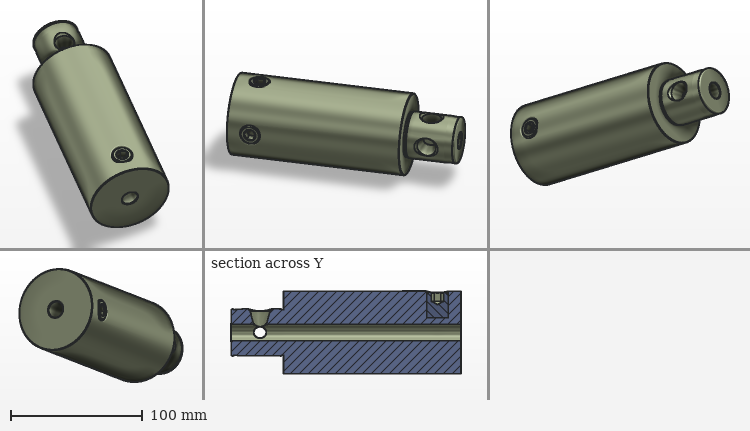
import cadquery as cq
import math


TOTAL_LENGTH = 175.0
BODY_DIAMETER = 63.0
BODY_START = 39.9
BODY_CHAMFER = 0.5

SPIGOT_DIAMETER = 36.0
PILOT_START_DIAMETER = 35.2
PILOT_END = 8.0
LIP_ROUND = 1.5
LIP_STEP_LENGTH = 0.5

RELIEF_DIAMETER = 34.8
RELIEF_START = 37.8
RELIEF_TAPER_LENGTH = 1.0
FACE_RELIEF_DIAMETER = 39.5
FACE_RELIEF_DEPTH = 0.4

BORE_DIAMETER = 12.2
BORE_CHAMFER = 0.5

SEAT_X = 22.2
SEAT_DIAMETER = 14.7
SEAT_COUNTERSINK_DEPTH = 2.0
SEAT_HALF_ANGLE = 15.0

SCREW_X = 157.0
SCREW_DIAMETER = 16.0
SCREW_TOP = 30.6
SCREW_LENGTH = 19.2
SCREW_CHAMFER = 1.0
SCREW_HOLE_RIM_ROUND = 0.96

HEXAGON_SIDES = 6
SOCKET_FLATS = 8.0
SOCKET_DEPTH = 7.0
SOCKET_RIM_DIAMETER = 9.5
SOCKET_TIP_HALF_ANGLE = 60.0

RIM_SEARCH_MARGIN = 0.9

FEATURE_TURNS = (0.0, -90.0)

BODY_RADIUS = BODY_DIAMETER / 2
SPIGOT_RADIUS = SPIGOT_DIAMETER / 2
SCREW_BOTTOM = SCREW_TOP - SCREW_LENGTH


def turned(shape, angle):
    """Turn a shape about the X axis."""
    return shape.rotate((0, 0, 0), (1, 0, 0), angle)


def cone(x, lower_z, lower_radius, upper_z, upper_radius):
    """Upright truncated cone centred on (x, y = 0)."""
    height = upper_z - lower_z
    return cq.Workplane(cq.Solid.makeCone(
        lower_radius, upper_radius, height, cq.Vector(x, 0, lower_z), cq.Vector(0, 0, 1)))


def cylinder(x, lower_z, upper_z, radius):
    """Upright cylinder centred on (x, y = 0)."""
    return cq.Workplane("XY", origin=(x, 0, lower_z)).circle(radius).extrude(upper_z - lower_z)


def turned_blank():
    """Spigot and body revolved as one profile, with the bore left solid."""
    relief_radius = RELIEF_DIAMETER / 2
    round_middle = LIP_ROUND * math.sqrt(0.5)
    return (
        cq.Workplane("XY")
        .lineTo(0, SPIGOT_RADIUS - LIP_ROUND)
        .threePointArc(
            (LIP_ROUND - round_middle, SPIGOT_RADIUS - LIP_ROUND + round_middle),
            (LIP_ROUND, SPIGOT_RADIUS),
        )
        .lineTo(LIP_ROUND + LIP_STEP_LENGTH, PILOT_START_DIAMETER / 2)
        .lineTo(PILOT_END, SPIGOT_RADIUS)
        .lineTo(RELIEF_START, SPIGOT_RADIUS)
        .lineTo(RELIEF_START + RELIEF_TAPER_LENGTH, relief_radius)
        .lineTo(BODY_START + FACE_RELIEF_DEPTH, relief_radius)
        .lineTo(BODY_START, FACE_RELIEF_DIAMETER / 2)
        .lineTo(BODY_START, BODY_RADIUS - BODY_CHAMFER)
        .lineTo(BODY_START + BODY_CHAMFER, BODY_RADIUS)
        .lineTo(TOTAL_LENGTH - BODY_CHAMFER, BODY_RADIUS)
        .lineTo(TOTAL_LENGTH, BODY_RADIUS - BODY_CHAMFER)
        .lineTo(TOTAL_LENGTH, 0)
        .close()
        .revolve(360, (0, 0, 0), (1, 0, 0))
    )


def bore():
    """Through bore with a chamfered mouth at each end."""
    radius = BORE_DIAMETER / 2
    mouth_radius = radius + BORE_CHAMFER
    return (
        cq.Workplane("XY")
        .lineTo(0, mouth_radius)
        .lineTo(BORE_CHAMFER, radius)
        .lineTo(TOTAL_LENGTH - BORE_CHAMFER, radius)
        .lineTo(TOTAL_LENGTH, mouth_radius)
        .lineTo(TOTAL_LENGTH, 0)
        .close()
        .revolve(360, (0, 0, 0), (1, 0, 0))
    )


def conical_seat():
    """Cone that narrows from the spigot surface to the bore, with a 45 degree countersink."""
    seat_radius = SEAT_DIAMETER / 2
    rim_z = SPIGOT_RADIUS - SEAT_COUNTERSINK_DEPTH
    tip_radius = seat_radius - rim_z * math.tan(math.radians(SEAT_HALF_ANGLE))
    seat = cone(SEAT_X, 0, tip_radius, rim_z, seat_radius)
    outer_radius = seat_radius + SEAT_COUNTERSINK_DEPTH
    countersink = cone(SEAT_X, rim_z, seat_radius, SPIGOT_RADIUS, outer_radius)
    return seat.union(countersink)


def screw_hole():
    """Blind hole for a set screw."""
    return cylinder(SCREW_X, SCREW_BOTTOM, BODY_RADIUS, SCREW_DIAMETER / 2)


def screw_hole_rim():
    """Box round the mouth of a screw hole that selects its rim edge."""
    reach = SCREW_DIAMETER / 2 + RIM_SEARCH_MARGIN
    return cq.selectors.BoxSelector(
        (SCREW_X - reach, -reach, SCREW_TOP - RIM_SEARCH_MARGIN),
        (SCREW_X + reach, reach, BODY_RADIUS + RIM_SEARCH_MARGIN),
    )


def hex_socket():
    """Hexagonal socket with a chamfered mouth and a conical floor."""
    corner_diameter = SOCKET_FLATS / math.cos(math.pi / HEXAGON_SIDES)
    flat_radius = SOCKET_FLATS / 2
    rim_radius = SOCKET_RIM_DIAMETER / 2
    floor_z = SCREW_TOP - SOCKET_DEPTH
    tip_z = floor_z - flat_radius / math.tan(math.radians(SOCKET_TIP_HALF_ANGLE))
    mouth_z = SCREW_TOP - (rim_radius - flat_radius)
    hexagon = (
        cq.Workplane("XY", origin=(SCREW_X, 0, floor_z))
        .polygon(HEXAGON_SIDES, corner_diameter)
        .extrude(SOCKET_DEPTH)
    )
    tip = cone(SCREW_X, tip_z, 0, floor_z, flat_radius)
    mouth = cone(SCREW_X, mouth_z, flat_radius, SCREW_TOP, rim_radius)
    return hexagon.union(tip).union(mouth)


def set_screw():
    """Headless set screw on the +Z side."""
    return (
        cylinder(SCREW_X, SCREW_BOTTOM, SCREW_TOP, SCREW_DIAMETER / 2)
        .faces(">Z")
        .chamfer(SCREW_CHAMFER)
        .cut(hex_socket())
    )


def add_screw_hole(holder, turn):
    """Cut one screw hole and round its rim, with the holder turned so that the hole faces +Z."""
    facing_up = turned(holder, -turn).cut(screw_hole())
    return turned(facing_up.edges(screw_hole_rim()).fillet(SCREW_HOLE_RIM_ROUND), turn)


holder = turned_blank().cut(bore())
for turn in FEATURE_TURNS:
    holder = holder.cut(turned(conical_seat(), turn))
    holder = add_screw_hole(holder, turn)

set_screws = [turned(set_screw(), turn) for turn in FEATURE_TURNS]

result = cq.Compound.makeCompound([holder.val(), *[screw.val() for screw in set_screws]])